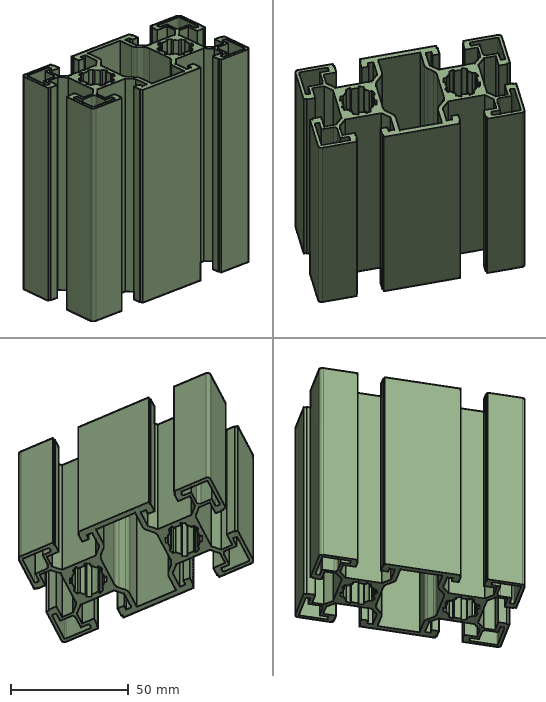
import cadquery as cq

cell = 45.0
half = cell / 2
length = 100.0

slot_half_opening = 5.5
mouth_step = 0.4
mouth_step_depth = 1.3
slot_half_width = 11.1
core_half = 9.2
lip_depth = 5.0
slot_bevel = 3.2
lip_inner = half - lip_depth

undercut_bottom = 19.5
undercut_start = 8.6

outer_corner_radius = 1.5
outer_wall = 1.5
lip_web = 1.5
slot_web = 1.25
lip_end_wall = 2.95
hollow_corner_radius = 0.5
hollow_inner_radius = 1.5

side_wall = 2.2
chamber_half_x = half - side_wall
chamber_half_y = 9.2
chamber_peak_y = half - core_half
chamber_peak_half_x = 7.7
chamber_bend_radius = 3.5

bore_radius = 6.85
groove_radius = 7.85
groove_inner_side = 1.55
groove_inner_side_taper = 0.4
groove_outer_side = 3.9


def prism(points):
    """Closed polygon extruded over the full length."""
    return cq.Workplane("XY").polyline(points).close().extrude(length)


def corner_line(x, y):
    """Selector for the vertical edge through the point (x, y)."""
    return cq.selectors.NearestToPointSelector((x, y, length / 2))


def outer_block():
    """Full rectangular bar with rounded corners."""
    block = cq.Workplane("XY").rect(cell, 2 * cell).extrude(length)
    return block.edges("|Z").fillet(outer_corner_radius)


def slot(inner_side_undercut):
    """T-slot opening towards +X, its centre line on the X axis.

    With an undercut, the pocket on the -Y side reaches deeper behind the lip.
    """
    floor_half = slot_half_width - slot_bevel
    bevel_end = core_half + slot_bevel
    lower_lip = [(lip_inner, -slot_half_width), (lip_inner, -slot_half_opening)]
    if inner_side_undercut:
        lower_lip = [
            (undercut_bottom, -slot_half_width),
            (undercut_bottom, -undercut_start),
            (lip_inner, -undercut_start),
            (lip_inner, -slot_half_opening),
        ]
    mouth_bottom = half - mouth_step_depth
    mouth_half = slot_half_opening + mouth_step
    mouth = [
        (mouth_bottom, -slot_half_opening),
        (mouth_bottom, -mouth_half),
        (half, -mouth_half),
        (half, mouth_half),
        (mouth_bottom, mouth_half),
        (mouth_bottom, slot_half_opening),
    ]
    upper_side = [
        (lip_inner, slot_half_opening),
        (lip_inner, slot_half_width),
        (bevel_end, slot_half_width),
        (core_half, floor_half),
    ]
    floor = [(core_half, -floor_half), (bevel_end, -slot_half_width)]
    return prism(floor + lower_lip + mouth + upper_side)


def corner_hollow():
    """L-shaped hollow in the +X +Y corner of a cell, symmetric about the diagonal."""
    outer = half - outer_wall
    step = lip_inner + lip_web
    inner = slot_half_width + slot_web
    tip = slot_half_opening + lip_end_wall
    hollow = prism([
        (outer, outer),
        (tip, outer),
        (tip, step),
        (inner, step),
        (inner, inner),
        (step, inner),
        (step, tip),
        (outer, tip),
    ])
    for x, y in [(outer, outer), (tip, outer), (tip, step), (step, tip), (outer, tip)]:
        hollow = hollow.edges(corner_line(x, y)).fillet(hollow_corner_radius)
    return hollow.edges(corner_line(inner, inner)).fillet(hollow_inner_radius)


def screw_bore():
    """Round bore with a pair of grooves beside each of its four axial teeth."""
    bore = cq.Workplane("XY").circle(bore_radius).extrude(length)
    groove_limit = cq.Workplane("XY").circle(groove_radius).extrude(length)
    tooth_tip = (bore_radius, groove_inner_side)
    tooth_root = (groove_radius, groove_inner_side + groove_inner_side_taper)
    groove = prism([
        (0, groove_inner_side),
        tooth_tip,
        tooth_root,
        (groove_radius, groove_outer_side),
        (0, groove_outer_side),
    ]).intersect(groove_limit)
    groove_pair = groove.union(groove.mirror("XZ"))
    for angle in (0, 90, 180, 270):
        bore = bore.union(groove_pair.rotate((0, 0, 0), (0, 0, 1), angle))
    return bore


def central_chamber():
    """Wide chamber between the cells, bulging towards both screw bores."""
    shoulder_half_x = chamber_peak_half_x + chamber_peak_y - chamber_half_y
    quarter = [
        (chamber_half_x, chamber_half_y),
        (shoulder_half_x, chamber_half_y),
        (chamber_peak_half_x, chamber_peak_y),
    ]
    top_left = [(-x, y) for x, y in reversed(quarter)]
    bottom_left = [(-x, -y) for x, y in quarter]
    bottom_right = [(x, -y) for x, y in reversed(quarter)]
    chamber = prism(quarter + top_left + bottom_left + bottom_right)
    return chamber.edges("|Z").edges("not (<X or >X)").fillet(chamber_bend_radius)


def cell_cutters():
    """Everything removed from the +Y cell, positioned on that cell's centre."""
    side_slot = slot(inner_side_undercut=True)
    end_slot = slot(inner_side_undercut=False).rotate((0, 0, 0), (0, 0, 1), 90)
    hollow = corner_hollow()
    cutters = [
        side_slot,
        side_slot.mirror("YZ"),
        end_slot,
        hollow,
        hollow.mirror("YZ"),
        screw_bore(),
    ]
    return [cutter.translate((0, half, 0)) for cutter in cutters]


profile = outer_block()
for cutter in cell_cutters():
    profile = profile.cut(cutter).cut(cutter.mirror("XZ"))
result = profile.cut(central_chamber())